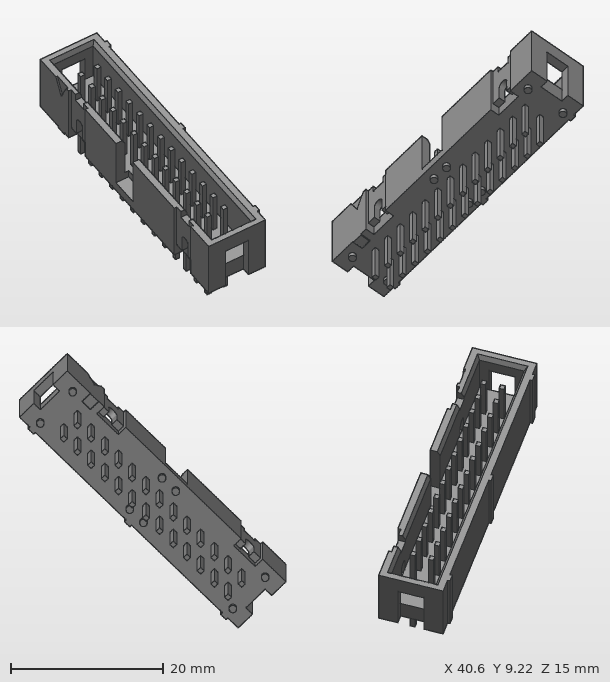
import cadquery as cq


LENGTH = 40.6
WIDTH = 8.9
HEIGHT = 8.9
SIDE_WALL = 1.4
END_WALL = 1.2
FLOOR_TOP = 2.6
LEAD_IN_WIDTH = 0.4
LEAD_IN_HEIGHT = 0.7
FRONT_FACE = -WIDTH / 2
BACK_FACE = WIDTH / 2

PIN_COLUMNS = 13
PIN_ROWS = 2
PIN_SPAN = 30.5
PITCH = PIN_SPAN / (PIN_COLUMNS - 1)
PIN_SIZE = 0.65
PIN_TOP = 8.7
PIN_BOTTOM = -6.05
FIRST_PIN_X = -PIN_SPAN / 2

KEY_WIDTH = 4.05
KEY_DEPTH = 2.0
KEY_BOTTOM = 1.45

RECESS_CENTRES = (-4.5 * PITCH, 5.5 * PITCH)
RECESS_WIDTH = 3.98
RECESS_DEPTH = 0.4
UNDERCUT_HEIGHT = 1.7
LATCH_SLOT_WIDTH = 1.5
LATCH_SLOT_TOP = 4.65
RIM_NOTCH_WIDTH = 2.0
RIM_NOTCH_DEPTH = 1.1

WINDOW_WIDTH = 3.57
WINDOW_TOP = 6.5

MARK_WIDTH = 2.5
MARK_HEIGHT = 2.55
MARK_DEPTH = 0.25

RIB_WIDTH = 1.0
RIB_DEPTH = 0.32

FOOT_DIAMETER = 1.0
FOOT_HEIGHT = 0.6
FOOT_Y = 3.0
END_FEATURE_X = 17.85
PAD_SIZE = 1.55
PAD_HEIGHT = 0.25


def block(x_centre, x_size, y_min, y_size, z_min, z_max):
    """Box centred on x_centre that starts at y_min and spans z_min to z_max."""
    solid = cq.Workplane("XY").box(x_size, y_size, z_max - z_min, centered=(True, False, False))
    return solid.translate((x_centre, y_min, z_min))


def housing():
    """Open-topped box whose cavity flares outward at the rim."""
    cavity_length = LENGTH - 2 * END_WALL
    cavity_width = WIDTH - 2 * SIDE_WALL
    body = block(0, LENGTH, FRONT_FACE, WIDTH, 0, HEIGHT)
    cavity = block(0, cavity_length, -cavity_width / 2, cavity_width, FLOOR_TOP, HEIGHT)
    lead_in = (
        cq.Workplane("XY", origin=(0, 0, HEIGHT - LEAD_IN_HEIGHT))
        .rect(cavity_length, cavity_width)
        .workplane(offset=LEAD_IN_HEIGHT)
        .rect(cavity_length + 2 * LEAD_IN_WIDTH, cavity_width + 2 * LEAD_IN_WIDTH)
        .loft(ruled=True)
    )
    return body.cut(cavity).cut(lead_in)


def key_slot():
    return block(0, KEY_WIDTH, FRONT_FACE, KEY_DEPTH, KEY_BOTTOM, HEIGHT)


def latch_recess(x):
    """Shallow full-height recess with an undercut, a round-topped slot and a rim notch."""
    radius = LATCH_SLOT_WIDTH / 2
    arch_centre = LATCH_SLOT_TOP - radius
    recess = block(x, RECESS_WIDTH, FRONT_FACE, RECESS_DEPTH, 0, HEIGHT)
    undercut = block(x, RECESS_WIDTH, FRONT_FACE, SIDE_WALL, 0, UNDERCUT_HEIGHT)
    slot = block(x, LATCH_SLOT_WIDTH, FRONT_FACE, SIDE_WALL, 0, arch_centre)
    arch = (
        cq.Workplane("XZ", origin=(x, FRONT_FACE, arch_centre))
        .circle(radius)
        .extrude(-SIDE_WALL)
    )
    notch = block(x, RIM_NOTCH_WIDTH, FRONT_FACE, SIDE_WALL, HEIGHT - RIM_NOTCH_DEPTH, HEIGHT)
    return recess.union(undercut).union(slot).union(arch).union(notch)


def end_window(side):
    """Opening through the end wall that runs on down past the end of the floor."""
    x = side * (LENGTH - END_WALL) / 2
    return block(x, END_WALL, -WINDOW_WIDTH / 2, WINDOW_WIDTH, 0, WINDOW_TOP)


def first_pin_mark():
    return (
        cq.Workplane("XZ", origin=(FIRST_PIN_X, FRONT_FACE, HEIGHT))
        .polyline([(-MARK_WIDTH / 2, 0), (MARK_WIDTH / 2, 0), (0, -MARK_HEIGHT)])
        .close()
        .extrude(-MARK_DEPTH)
    )


def feet():
    positions = [
        (x, y)
        for x in (-END_FEATURE_X, -PITCH / 2, PITCH / 2, END_FEATURE_X)
        for y in (-FOOT_Y, FOOT_Y)
    ]
    return cq.Workplane("XY").pushPoints(positions).circle(FOOT_DIAMETER / 2).extrude(-FOOT_HEIGHT)


def pins():
    return (
        cq.Workplane("XY", origin=(0, 0, PIN_BOTTOM))
        .rarray(PITCH, PITCH, PIN_COLUMNS, PIN_ROWS)
        .rect(PIN_SIZE, PIN_SIZE)
        .extrude(PIN_TOP - PIN_BOTTOM)
    )


result = housing().cut(key_slot()).cut(first_pin_mark())
for recess_x in RECESS_CENTRES:
    result = result.cut(latch_recess(recess_x))
for end in (-1, 1):
    result = result.cut(end_window(end))
for rib_x in (-END_FEATURE_X, 0, END_FEATURE_X):
    result = result.union(block(rib_x, RIB_WIDTH, BACK_FACE, RIB_DEPTH, 0, HEIGHT))

first_pin_pad = block(FIRST_PIN_X, PAD_SIZE, FRONT_FACE, PAD_SIZE, -PAD_HEIGHT, 0)
result = result.union(first_pin_pad).union(feet()).union(pins())